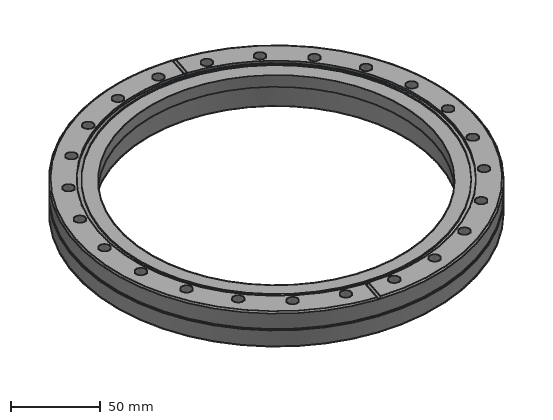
import cadquery as cq

outer_diameter = 253.2
thickness = 24.5
bore_diameter = 198.4
outer_radius = outer_diameter / 2
bore_radius = bore_diameter / 2

socket_diameter = 203.4
socket_depth = 15.1
socket_radius = socket_diameter / 2

bevel_size = 1.0

rim_groove_width = 0.8
rim_groove_depth = 0.4

recess_radius = 111.1
recess_wall_depth = 1.6
knife_radius = 108.5
knife_depth = 0.65
inner_face_depth = 1.3

bolt_count = 24
bolt_circle_diameter = 231.9
bolt_hole_diameter = 7.0

leak_groove_width = 2.1
leak_groove_depth = 0.8
first_leak_groove_angle = 180 / bolt_count
leak_groove_angles = [first_leak_groove_angle, first_leak_groove_angle + 180]


def ring_body():
    groove_low = (thickness - rim_groove_width) / 2
    groove_high = groove_low + rim_groove_width
    groove_radius = outer_radius - rim_groove_depth
    profile = [
        (bore_radius, socket_depth),
        (socket_radius, socket_depth),
        (socket_radius, 0),
        (outer_radius - bevel_size, 0),
        (outer_radius, bevel_size),
        (outer_radius, groove_low),
        (groove_radius, groove_low),
        (groove_radius, groove_high),
        (outer_radius, groove_high),
        (outer_radius, thickness - bevel_size),
        (outer_radius - bevel_size, thickness),
        (recess_radius, thickness),
        (recess_radius, thickness - recess_wall_depth),
        (knife_radius, thickness - knife_depth),
        (knife_radius, thickness - inner_face_depth),
        (bore_radius, thickness - inner_face_depth),
    ]
    return cq.Workplane("XZ").polyline(profile).close().revolve(360, (0, 0, 0), (0, 1, 0))


def bolt_holes():
    return (
        cq.Workplane("XY")
        .polarArray(bolt_circle_diameter / 2, 0, 360, bolt_count)
        .circle(bolt_hole_diameter / 2)
        .extrude(thickness)
    )


def leak_groove(angle):
    half_width = leak_groove_width / 2
    arc_radius = (half_width**2 + leak_groove_depth**2) / (2 * leak_groove_depth)
    axis_height = thickness - leak_groove_depth + arc_radius
    return (
        cq.Workplane("YZ", origin=(recess_radius, 0, axis_height))
        .circle(arc_radius)
        .extrude(outer_radius - recess_radius)
        .rotate((0, 0, 0), (0, 0, 1), angle)
    )


result = ring_body().cut(bolt_holes())
for groove_angle in leak_groove_angles:
    result = result.cut(leak_groove(groove_angle))